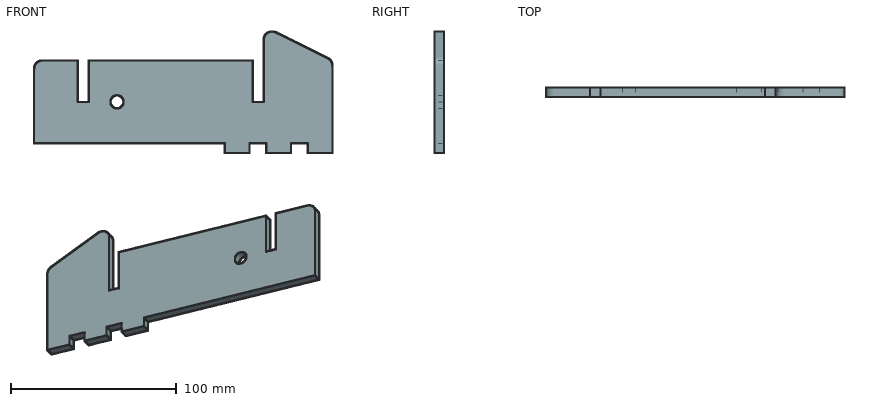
import cadquery as cq

length = 180.0
thickness = 6.0
body_height = 50.0
tab_height = 6.0
body_top = tab_height + body_height
corner_radius = 5.0

slot_width = 6.5
slot_depth = body_height / 2
slot_floor = body_top - slot_depth
slot_starts = (26.5, 132.0)

raised_start = slot_starts[1] + slot_width
total_height = 73.5
slope_start = 144.9
end_height = 56.0

tab_count = 3
tab_width = 15.0
tab_pitch = 25.0

hole_diameter = 7.7
hole_x = 50.0
hole_z = tab_height + body_height / 2


def box(x, z, width, height):
    """Full-thickness block with its lower left corner at (x, z)."""
    return cq.Workplane("XY").box(width, thickness, height, centered=False).translate((x, 0, z))


def rounded_plate():
    """Plate outline above the tabs, with its exposed top corners rounded."""
    outline = [
        (0, tab_height),
        (length, tab_height),
        (length, end_height),
        (slope_start, total_height),
        (raised_start, total_height),
        (raised_start, body_top),
        (0, body_top),
    ]
    plate = cq.Workplane("XZ").polyline(outline).close().extrude(-thickness)
    rounded_corners = (
        (0, body_top),
        (raised_start, total_height),
        (slope_start, total_height),
        (length, end_height),
    )
    for x, z in rounded_corners:
        corner = cq.selectors.NearestToPointSelector((x, thickness / 2, z))
        plate = plate.edges("|Y").edges(corner).fillet(corner_radius)
    return plate


result = rounded_plate()

for slot_start in slot_starts:
    result = result.cut(box(slot_start, slot_floor, slot_width, slot_depth))

for index in range(tab_count):
    tab_start = length - tab_width - index * tab_pitch
    result = result.union(box(tab_start, 0, tab_width, tab_height))

hole = cq.Workplane("XZ").center(hole_x, hole_z).circle(hole_diameter / 2).extrude(-thickness)
result = result.cut(hole).clean()